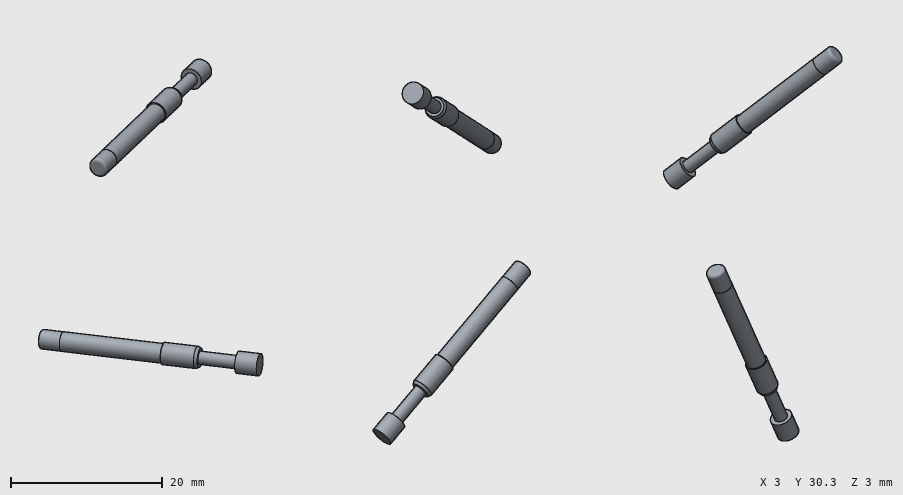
import cadquery as cq


head_diameter = 3.0
plunger_diameter = 1.8
collar_diameter = 3.0
barrel_diameter = 2.65
tail_diameter = 2.63

overall_length = 30.3
barrel_length = 17.0
tail_length = 3.0
collar_length = 5.05
collar_taper_length = 0.45
collar_taper_depth = 0.21
head_length = 3.0

tail_edge_radius = 0.4

tail_end = -barrel_length
head_end = overall_length - barrel_length
head_start = head_end - head_length
tail_start = tail_end + tail_length
taper_start = collar_length - collar_taper_length


def turned_section(diameter, start, end):
    """Solid cylinder on the Y axis between two stations."""
    disc = cq.Workplane("XZ", origin=(0, start, 0)).circle(diameter / 2)
    return disc.extrude(start - end)


def make_tail():
    """End of the barrel, slightly narrower than the tube, with its free edge rounded."""
    tail = turned_section(tail_diameter, tail_end, tail_start)
    return tail.faces("<Y").edges().fillet(tail_edge_radius)


def make_collar():
    """Collar whose plunger side tapers slightly toward its end face."""
    outline = (
        cq.Workplane("XY")
        .lineTo(collar_diameter / 2, 0)
        .lineTo(collar_diameter / 2, taper_start)
        .lineTo(collar_diameter / 2 - collar_taper_depth, collar_length)
        .lineTo(0, collar_length)
        .close()
    )
    return outline.revolve(360, (0, 0, 0), (0, 1, 0))


barrel = turned_section(barrel_diameter, tail_start, 0)
plunger = turned_section(plunger_diameter, collar_length, head_start)
head = turned_section(head_diameter, head_start, head_end)

result = make_tail().union(barrel).union(make_collar()).union(plunger).union(head)